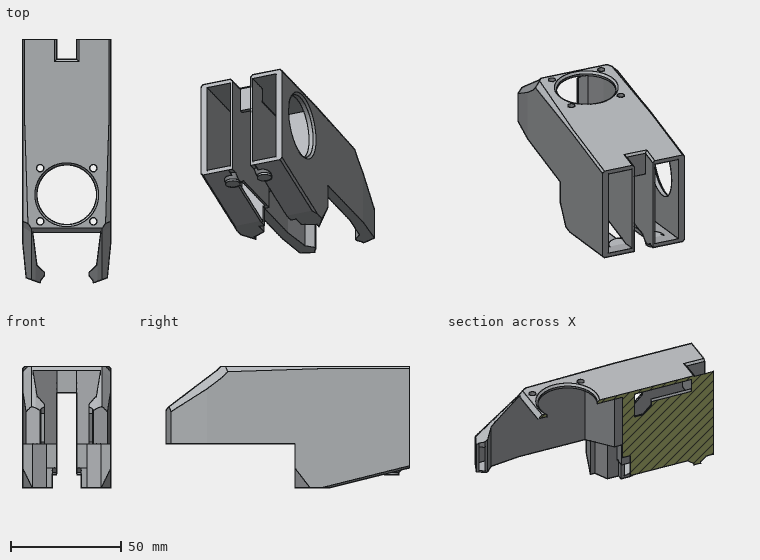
import cadquery as cq


length = 110.3
width = 40.0
half_width = width / 2
height = 55.0
margin = 5.5
overrun = 1.3

arm_bottom = 20.0
leg_front = 58.4
heel_y = 74.0
back_bottom = 9.0
plate = 2.0
ceiling = height - plate
small_chamfer = 1.0
chamfer_widens_y = 71.9
widest_chamfer = 2.5

bevel_y = 24.8
plate_front = bevel_y - plate
tip_shoulder = (1.4, 36.9)
tip_top = 35.5
taper_start = 18.6
tip_outer = (18.4, 2.3)
tip_inner_x = 12.0
arm_chamfer = 4.0
mitre_run = 2.5
mitre_drop = 3.1
arm_chamfer_x = half_width - arm_chamfer

bay_half = 15.3
bay_back = 55.7
channel_half = 4.5
channel_start = 65.3

hook_root = (13.5, 8.0)
hook_x = 10.0
hook_rear = 4.7
hook_front = 3.3
hook_throat = (11.7, 1.2)
hook_slope_x = 14.0
hook_slope_drop = 0.38
window_bottom = 20.9
window_top = 33.8
window_depth_x = 17.4

leg_inner = 15.6
leg_corner_run = 7.0
throat_half = 9.2
throat_start = 60.7
throat_panel_depth = 3.2
throat_back = 68.8
foot_slot_half = 6.5
foot_slot_top = 9.0
foot_step = 0.7

cavity_half = 17.0
cavity_front = 71.2
channel_wall = 1.0
channel_wall_top = 47.8
wall_top_bevel = 1.7
notch_y = 79.3
notch_bottom = 40.8
notch_corner = 3.9
floor_thickness = 2.0

slot_end = 101.3
bar_front = slot_end - plate
bar_bottom = 43.0

fan_y = 39.9
fan_radius = 13.5
screw_offset = 12.0
screw_diameter = 3.2
port_y = 87.4
port_z = 37.0
port_radius = 14.5
boss_x = 7.8
boss_y = 102.2
boss_radius = 3.3
boss_bottom = 6.0
flare_bottom = 7.0


def block(x0, x1, y0, y1, z0, z1):
    """Box between two opposite corners."""
    return cq.Workplane("XY").box(x1 - x0, y1 - y0, z1 - z0, centered=False).translate((x0, y0, z0))


def mirrored_plan(half_points):
    """Plan outline from its +X half, mirrored to the -X half."""
    return half_points + [(-x, y) for x, y in reversed(half_points)]


def plan_prism(points, z0, z1):
    return cq.Workplane("XY").workplane(offset=z0).polyline(points).close().extrude(z1 - z0)


def side_prism(points, x0, x1):
    """Prism along X from a Y-Z outline."""
    return cq.Workplane("YZ").workplane(offset=x0).polyline(points).close().extrude(x1 - x0)


def wedge(first, second):
    """Solid between two triangles in space."""
    wires = [cq.Wire.makePolygon([cq.Vector(*p) for p in tri], close=True) for tri in (first, second)]
    return cq.Workplane(obj=cq.Solid.makeLoft(wires, True))


def shifted(points, offset):
    return [tuple(a + b for a, b in zip(p, offset)) for p in points]


def overrunning_wedge(section, run):
    """Wedge swept along a run, reaching past both of its ends."""
    before = shifted(section, [(1 - overrun) * v for v in run])
    after = shifted(section, [overrun * v for v in run])
    return wedge(before, after)


def both_sides(tool):
    return tool.union(tool.mirror("YZ"))


def underside(y):
    """Height of the sloping underside."""
    return back_bottom * (y - heel_y) / (length - heel_y)


def outer_body():
    """Side outline and plan outline intersected."""
    side = side_prism(
        [
            (leg_front, arm_bottom),
            (leg_front, 0),
            (heel_y, 0),
            (length, back_bottom),
            (length, height),
            (bevel_y, height),
            (plate_front, ceiling),
            tip_shoulder,
            (0, tip_top),
            (0, arm_bottom),
        ],
        -half_width,
        half_width,
    )
    plan = mirrored_plan(
        [(half_width, length), (half_width, taper_start), tip_outer, (tip_inner_x, 0)]
    )
    return side.intersect(plan_prism(plan, 0, height))


def top_edge_chamfers():
    """Small chamfer at the back, widening towards the front, then wide down the nose and arms."""
    def edge_section(y, inset):
        return [
            (half_width, y, height),
            (half_width - inset, y, height),
            (half_width, y, height - inset),
        ]

    rear = wedge(edge_section(length, small_chamfer), edge_section(chamfer_widens_y, small_chamfer))
    widening = wedge(edge_section(chamfer_widens_y, small_chamfer), edge_section(bevel_y, widest_chamfer))

    mitre = [
        (half_width, plate_front, ceiling),
        (arm_chamfer_x, plate_front, ceiling),
        (half_width, plate_front + mitre_run, ceiling - mitre_drop),
    ]
    nose = wedge(mitre, shifted(mitre, (0, margin, margin)))
    run_y = tip_shoulder[0] - plate_front
    run_z = tip_shoulder[1] - ceiling
    arm = wedge(mitre, shifted(mitre, (0, overrun * run_y, overrun * run_z)))
    return both_sides(rear.union(widening).union(nose).union(arm))


def underside_chamfers():
    """Small chamfers along both outer edges of the sloping underside."""
    run = (0, heel_y - length, -back_bottom)
    section = [
        (half_width, length, back_bottom),
        (half_width - small_chamfer, length, back_bottom),
        (half_width, length, back_bottom + small_chamfer),
    ]
    return both_sides(overrunning_wedge(section, run))


def leg_corner_cuts():
    """Tetrahedron off the outer front corner of each leg."""
    corner = cq.Vector(half_width, leg_front, 0)
    inward = cq.Vector(leg_inner, leg_front, 0)
    back = cq.Vector(half_width, leg_front + leg_corner_run, 0)
    up = cq.Vector(half_width, leg_front, foot_slot_top)
    triangles = [(corner, inward, back), (corner, inward, up), (corner, back, up), (inward, back, up)]
    faces = [cq.Face.makeFromWires(cq.Wire.makePolygon(list(t), close=True)) for t in triangles]
    return both_sides(cq.Workplane(obj=cq.Solid.makeSolid(cq.Shell.makeShell(faces))))


def interior():
    """Open bay between the arms, narrowing to the channel that runs to the back."""
    plan = [
        (channel_half, length),
        (channel_half, channel_start),
        (bay_half, bay_back),
        (bay_half, plate_front),
        hook_root,
        (hook_x, hook_rear),
        (hook_x, hook_front),
        hook_throat,
        (tip_inner_x, 0),
    ]
    return plan_prism(mirrored_plan(plan), 0, ceiling)


def hook_tops():
    """Falling top of each hook, parallel to the sloping arm edge."""
    y0, z0 = tip_shoulder
    width = hook_slope_x - hook_x + margin
    section = [
        (hook_slope_x, y0, z0),
        (hook_slope_x - width, y0, z0),
        (hook_slope_x - width, y0, z0 - hook_slope_drop * width),
    ]
    reach = hook_root[1] - y0
    edge_slope = (ceiling - z0) / (plate_front - y0)
    run = (0, reach, reach * edge_slope)
    return both_sides(overrunning_wedge(section, run))


def hook_windows():
    """Pocket through the front flank of each hook into the arm.

    Its rear wall is parallel to the rear flank of the hook, its front wall to the arm tip.
    """
    rear_lean = (hook_root[1] - hook_rear) / (hook_root[0] - hook_x)
    front_lean = tip_outer[1] / (tip_outer[0] - tip_inner_x)
    throat_x, throat_y = hook_throat
    plan = [
        (hook_x, hook_front),
        (window_depth_x, hook_front + rear_lean * (window_depth_x - hook_x)),
        (window_depth_x, throat_y + front_lean * (window_depth_x - throat_x)),
        hook_throat,
        (hook_x, throat_y),
    ]
    return both_sides(plan_prism(plan, window_bottom, window_top))


def lower_throat():
    """Recess with slanted entry panels between the legs, and the slot between the feet."""
    panel_end = throat_start + throat_panel_depth
    plan = mirrored_plan(
        [
            (throat_half, throat_back),
            (throat_half, panel_end),
            (leg_inner, throat_start),
            (leg_inner, leg_front),
        ]
    )
    throat = plan_prism(plan, 0, arm_bottom)
    step = block(-throat_half, throat_half, panel_end, throat_back + foot_step, 0, foot_slot_top)
    foot_slot = block(-foot_slot_half, foot_slot_half, throat_back, length, 0, foot_slot_top)
    return throat.union(step).union(foot_slot)


def rear_cavity():
    """Hollow behind the bay, open at the back, less the two walls that line the channel.

    The walls are low, with a notch in front, and rise to the ceiling from the cross bar backwards.
    """
    outline = [
        (cavity_front, underside(cavity_front) + floor_thickness),
        (length, back_bottom + floor_thickness),
        (length, ceiling),
        (cavity_front, ceiling),
    ]
    hollow = side_prism(outline, -cavity_half, cavity_half)

    wall_outer = channel_half + channel_wall
    wall = side_prism(
        [
            (cavity_front, 0),
            (length, 0),
            (length, ceiling),
            (bar_front, ceiling),
            (bar_front, channel_wall_top),
            (notch_y, channel_wall_top),
            (notch_y, notch_bottom + notch_corner),
            (notch_y - notch_corner, notch_bottom),
            (cavity_front, notch_bottom),
        ],
        channel_half,
        wall_outer,
    )
    bevel_section = [
        (wall_outer, cavity_front, channel_wall_top),
        (wall_outer, cavity_front, channel_wall_top - wall_top_bevel),
        (channel_half, cavity_front, channel_wall_top),
    ]
    wall = wall.cut(wedge(bevel_section, shifted(bevel_section, (0, bar_front - cavity_front, 0))))
    return hollow.cut(both_sides(wall))


def cross_bar():
    half = channel_half + channel_wall
    return block(-half, half, bar_front, slot_end, bar_bottom, ceiling)


def back_slot():
    """Slot in the top plate, chamfered along its three upper edges."""
    slot = block(-channel_half, channel_half, slot_end, length, bar_bottom, height)
    lower = height - small_chamfer
    slot_length = length + margin - slot_end
    chamfer = (
        cq.Workplane("XY")
        .workplane(offset=lower)
        .center(0, slot_end + slot_length / 2)
        .rect(2 * channel_half, slot_length)
        .workplane(offset=small_chamfer)
        .rect(2 * (channel_half + small_chamfer), slot_length + 2 * small_chamfer)
        .loft(ruled=True)
    )
    return slot.union(chamfer)


def countersunk(radius, depth):
    """Hole along +Z whose mouth at Z = 0 is chamfered."""
    bore = cq.Workplane("XY").circle(radius).extrude(depth)
    mouth = cq.Solid.makeCone(radius + small_chamfer, radius, small_chamfer)
    return bore.union(cq.Workplane(obj=mouth))


def fan_opening():
    """Round opening in the top plate with four screw holes around it."""
    opening = countersunk(fan_radius, plate).rotate((0, 0, 0), (1, 0, 0), 180)
    opening = opening.translate((0, fan_y, height))
    corners = cq.Workplane("XY").workplane(offset=ceiling).center(0, fan_y)
    screws = corners.rect(2 * screw_offset, 2 * screw_offset, forConstruction=True).vertices()
    return opening.union(screws.circle(screw_diameter / 2).extrude(plate))


def side_port():
    """Round hole through the -X wall into the rear cavity."""
    wall = half_width - cavity_half
    hole = countersunk(port_radius, wall).rotate((0, 0, 0), (0, 1, 0), 90)
    return hole.translate((-half_width, port_y, port_z))


def bosses():
    """Round bosses with a flared root, trimmed flush with the channel."""
    pin_height = foot_slot_top - boss_bottom
    pin = cq.Solid.makeCylinder(boss_radius, pin_height, cq.Vector(boss_x, boss_y, boss_bottom))
    flare_height = foot_slot_top - flare_bottom
    flare = cq.Solid.makeCone(
        boss_radius, boss_radius + flare_height, flare_height, cq.Vector(boss_x, boss_y, flare_bottom)
    )
    boss = cq.Workplane(obj=pin).union(cq.Workplane(obj=flare))
    return both_sides(boss.cut(block(0, channel_half, 0, length, 0, height)))


result = outer_body()
for removal in (
    top_edge_chamfers(),
    underside_chamfers(),
    leg_corner_cuts(),
    interior(),
    hook_tops(),
    hook_windows(),
    lower_throat(),
    rear_cavity(),
):
    result = result.cut(removal)
result = result.union(cross_bar()).cut(back_slot()).cut(fan_opening()).cut(side_port())
result = result.union(bosses()).clean()